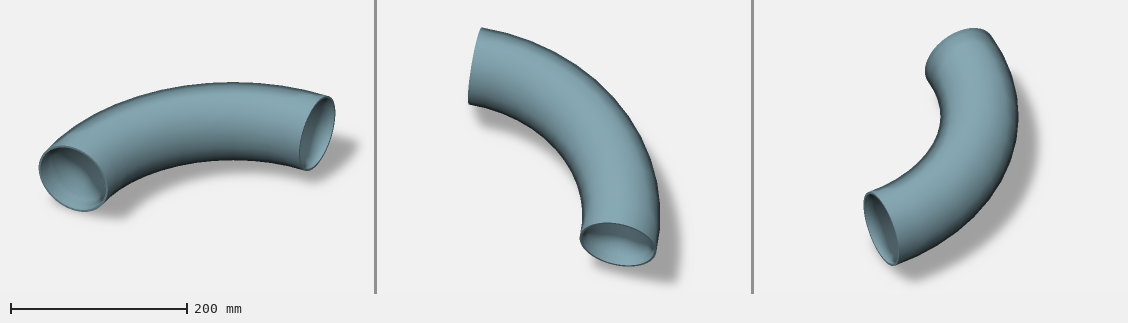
import cadquery as cq

overall_length = 249.5
outer_diameter = 88.8
wall_thickness = 2.5
bend_angle = 90.0

outer_radius = outer_diameter / 2
inner_radius = outer_radius - wall_thickness
bend_radius = overall_length - outer_radius

ring_section = cq.Workplane("XZ").circle(outer_radius).circle(inner_radius)

bend_axis_start = (bend_radius, 0, 0)
bend_axis_end = (bend_radius, -1, 0)

result = ring_section.revolve(bend_angle, bend_axis_start, bend_axis_end)